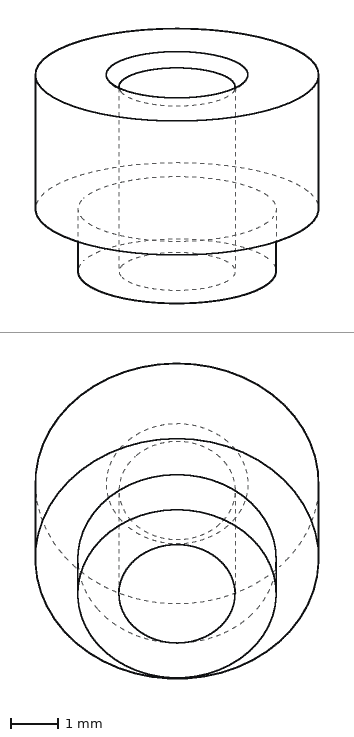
import cadquery as cq

head_diameter = 6.0
head_height = 3.0
spigot_diameter = 4.2
spigot_height = 1.4
bore_diameter = 2.46
countersink_diameter = 3.0
countersink_angle = 90.0

spigot = cq.Workplane("XY").circle(spigot_diameter / 2).extrude(spigot_height)
head = (
    cq.Workplane("XY")
    .workplane(offset=spigot_height)
    .circle(head_diameter / 2)
    .extrude(head_height)
)
body = spigot.union(head)

result = (
    body.faces(">Z")
    .workplane()
    .cskHole(bore_diameter, countersink_diameter, countersink_angle)
)